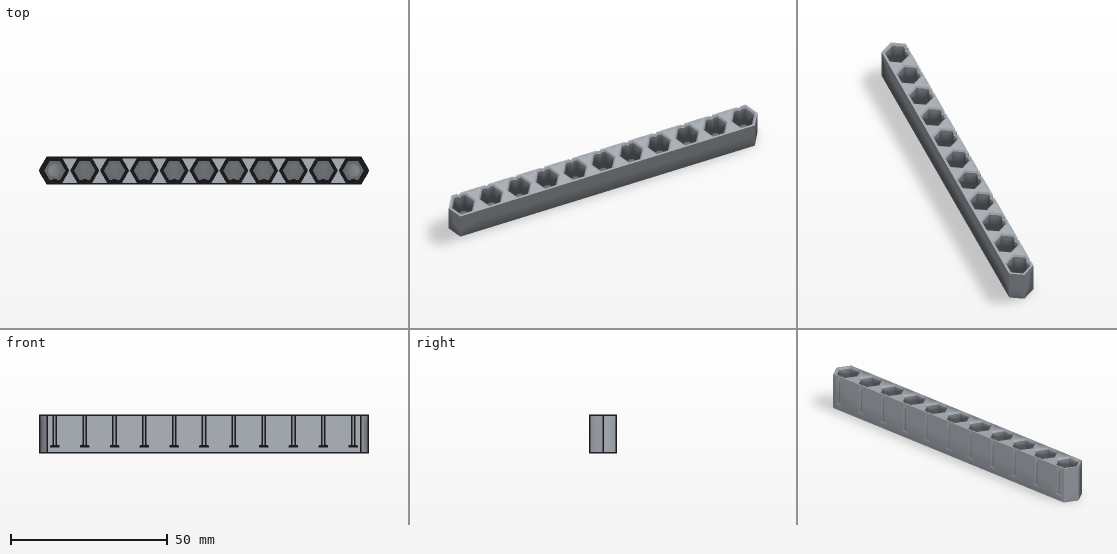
import cadquery as cq
import math

cell_count = 11
cell_pitch = 9.5
wall_thickness = 1.0
pocket_flats = 6.45
body_height = 12.0
floor_thickness = 2.0
mouth_chamfer = 0.5

groove_radius = 0.5
groove_depth = 0.49
rib_radius = 0.65
rib_projection = 0.3
slit_width = 2.4
slit_height = 0.3

corner_factor = 2 / math.sqrt(3)
body_flats = pocket_flats + 2 * wall_thickness
mouth_flats = pocket_flats + 2 * mouth_chamfer
row_length = (cell_count - 1) * cell_pitch
front_face = -body_flats / 2
pocket_front = -pocket_flats / 2
pocket_depth = body_height - floor_thickness
slit_top = floor_thickness + slit_height
chamfer_bottom = body_height - mouth_chamfer
cell_centers = [(i * cell_pitch - row_length / 2, 0) for i in range(cell_count)]


def make_body():
    """Bar whose ends are pointed like the outer halves of the end hexagons."""
    corners = body_flats * corner_factor
    shoulder = row_length / 2 + corners / 4
    tip = row_length / 2 + corners / 2
    outline = [
        (-tip, 0),
        (-shoulder, front_face),
        (shoulder, front_face),
        (tip, 0),
        (shoulder, -front_face),
        (-shoulder, -front_face),
    ]
    return cq.Workplane("XY").polyline(outline).close().extrude(body_height)


def make_pockets():
    """Blind hexagonal sockets above the floor."""
    return (
        cq.Workplane("XY", origin=(0, 0, floor_thickness))
        .pushPoints(cell_centers)
        .polygon(6, pocket_flats * corner_factor)
        .extrude(pocket_depth)
    )


def make_mouth(center):
    """Lead-in chamfer at the top of one socket."""
    x, y = center
    return (
        cq.Workplane("XY", origin=(x, y, chamfer_bottom))
        .polygon(6, pocket_flats * corner_factor)
        .workplane(offset=mouth_chamfer)
        .polygon(6, mouth_flats * corner_factor)
        .loft(ruled=True)
    )


def make_columns(radius, axis_y, bottom, top):
    """One vertical cylinder per cell, centred on the cell in X."""
    return (
        cq.Workplane("XY", origin=(0, axis_y, bottom))
        .pushPoints(cell_centers)
        .circle(radius)
        .extrude(top - bottom)
    )


def make_ribs():
    """Rounded ribs that project into the sockets, from the slit up to the chamfer."""
    axis_y = pocket_front + rib_projection - rib_radius
    return make_columns(rib_radius, axis_y, slit_top, chamfer_bottom)


def make_grooves():
    """Rounded grooves in the front face, from the floor level to the top."""
    axis_y = front_face + groove_depth - groove_radius
    return make_columns(groove_radius, axis_y, floor_thickness, body_height)


def make_slits():
    """Horizontal slits through the front wall, just above the floor."""
    wall_middle = (front_face + pocket_front) / 2
    return (
        cq.Workplane("XY", origin=(0, wall_middle, floor_thickness))
        .pushPoints(cell_centers)
        .rect(slit_width, 2 * wall_thickness)
        .extrude(slit_height)
    )


result = make_body().cut(make_pockets())
for cell_center in cell_centers:
    result = result.cut(make_mouth(cell_center))
result = result.union(make_ribs()).cut(make_grooves()).cut(make_slits())